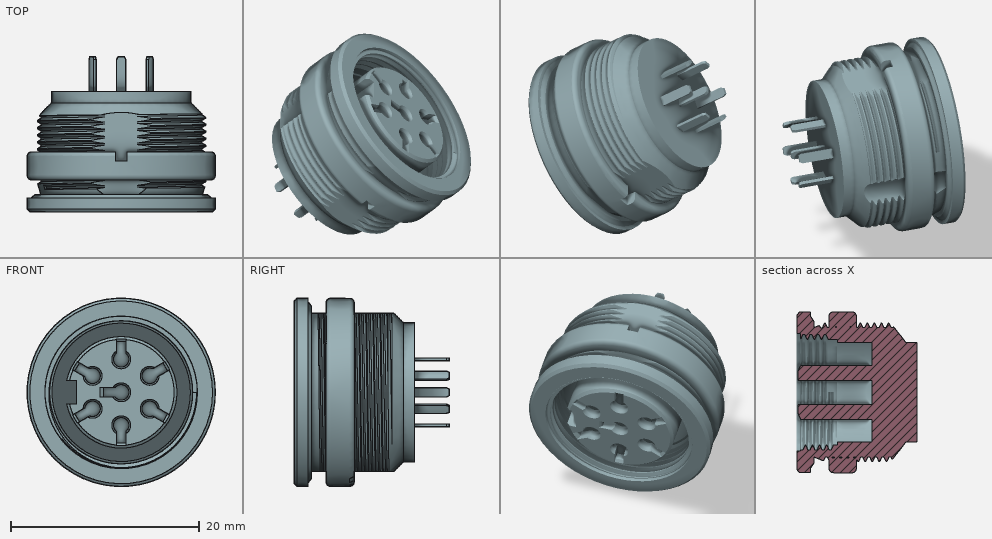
import cadquery as cq
import math


rim_radius = 8.1
rim_height = 0.02
flange_radius = 10.0
flange_thickness = 1.5
flange_chamfer = 0.3
lip_radius = 9.6
lip_end_radius = 9.15
lip_end = 1.85

tail_radius = 7.4
tail_start = 11.6
tail_end = 12.8
barrel_radius = 9.0
neck_radius = 8.62
neck_taper_end = 3.05
flat_height = 8.42
side_groove_radius = 2.0
side_groove_center = 10.2

thread_pitch = 0.75
thread_half_angle = 30.0
thread_overrun = 0.02
outer_thread_root = 8.6
outer_thread_start = 2.58
outer_thread_end = 10.8
outer_thread_angle = 203.0
inner_thread_root = 8.0
inner_thread_start = 0.3
inner_thread_end = 3.6
inner_thread_angle = 0.0
outer_joint = (90, 90)
inner_joint = (180, 360)
root_flat = 0.18

nut_radius = 10.0
nut_inner_radius = 8.65
nut_start = 3.4
nut_end = 6.4
nut_fillet = 0.5
nut_notch_width = 1.2
nut_notch_depth = 1.0

mouth_depth = 0.4
bore_radius = 7.6
bore_step = 4.3
deep_bore_radius = 7.35
bore_end = 8.0

insert_front = 0.15
insert_radius = 5.92
insert_chamfer = 0.3
key_slot_width = 2.5
key_slot_floor = 4.75

contact_count = 6
first_contact_angle = 30
contact_circle_radius = 3.5
socket_radius = 1.0
socket_bore_radius = 0.82
socket_cone_depth = 0.35
socket_depth = 1.05
socket_slot_width = 1.0
socket_slot_length = 2.22
socket_slot_bevel = 0.32
pin_width = 1.0
pin_thickness = 0.32
pin_end = 16.5
pin_tip_length = 0.32
pin_tip_inset = 0.15


def turned(points):
    """Revolve a closed (radius, y) outline about the Y axis."""
    return cq.Workplane("XY").polyline(points).close().revolve(360, (0, 0, 0), (0, 1, 0))


def along_y(start, end, sketch):
    """Extrude a wire-drawing function from y = start to y = end, in (x, z) axes."""
    plane = cq.Plane(origin=(0, end, 0), xDir=(1, 0, 0), normal=(0, -1, 0))
    return sketch(cq.Workplane(plane)).extrude(end - start)


def groove_stretch(root_radius, open_radius, start, start_angle, end_angle):
    """One stretch of a helical V groove that narrows from open_radius to root_radius."""
    depth = abs(open_radius - root_radius)
    half_root = root_flat / 2
    half_open = half_root + depth * math.tan(math.radians(thread_half_angle))
    rise = thread_pitch * (end_angle - start_angle) / 360
    path = cq.Wire.makeHelix(thread_pitch, rise, root_radius)
    groove = (
        cq.Workplane("XZ")
        .polyline([
            (root_radius, -half_root),
            (open_radius, -half_open),
            (open_radius, half_open),
            (root_radius, half_root),
        ])
        .close()
        .sweep(cq.Workplane(path), isFrenet=True)
    )
    groove = groove.rotate((0, 0, 0), (1, 0, 0), -90).translate((0, start, 0))
    return groove.rotate((0, 0, 0), (0, 1, 0), start_angle)


def cut_thread(body, root_radius, open_radius, start, end, start_angle, joint_angle, stretch_angle):
    """Cut a helical groove in stretches that meet every stretch_angle, counted from joint_angle."""
    last_angle = start_angle + 360 * (end - start) / thread_pitch
    angle = start_angle
    while angle < last_angle:
        stretches_done = math.floor((angle - joint_angle) / stretch_angle)
        next_angle = joint_angle + stretch_angle * (stretches_done + 1)
        height = start + thread_pitch * (angle - start_angle) / 360
        body = body.cut(groove_stretch(root_radius, open_radius, height, angle, next_angle), clean=False)
        angle = next_angle
    return body


def flange():
    return turned([
        (0, 0),
        (rim_radius, 0),
        (rim_radius, rim_height),
        (flange_radius - flange_chamfer, rim_height),
        (flange_radius, rim_height + flange_chamfer),
        (flange_radius, flange_thickness),
        (lip_radius, flange_thickness),
        (lip_end_radius, lip_end),
        (0, lip_end),
    ])


def barrel():
    """Barrel with a 45 degree shoulder, top and bottom flats, a side groove and a thread."""
    cone_start = tail_start - (barrel_radius - tail_radius)
    body = turned([
        (0, lip_end),
        (neck_radius, lip_end),
        (barrel_radius, neck_taper_end),
        (barrel_radius, cone_start),
        (tail_radius, tail_start),
        (tail_radius, tail_end),
        (0, tail_end),
    ])
    body = body.intersect(along_y(
        lip_end, tail_end, lambda wp: wp.rect(2 * flange_radius, 2 * flat_height)
    ))
    body = body.cut(along_y(
        lip_end, tail_end,
        lambda wp: wp.center(-side_groove_center, 0).circle(side_groove_radius),
    ))
    return cut_thread(
        body, outer_thread_root, barrel_radius + thread_overrun,
        outer_thread_start, outer_thread_end, outer_thread_angle, *outer_joint,
    )


def nut():
    ring = along_y(nut_start, nut_end, lambda wp: wp.circle(nut_radius))
    ring = ring.edges().fillet(nut_fillet)
    ring = ring.cut(along_y(nut_start, nut_end, lambda wp: wp.circle(nut_inner_radius)))
    return ring.cut(along_y(
        nut_end - nut_notch_depth, nut_end,
        lambda wp: wp.rect(nut_notch_width, 2 * nut_radius + 0.2),
    ))


def bore():
    """Cutter for the bore, with a thin edge of the rim left standing around its mouth."""
    mouth_radius = rim_radius - rim_height
    return turned([
        (0, 0),
        (mouth_radius, 0),
        (mouth_radius, mouth_depth),
        (bore_radius, mouth_depth),
        (bore_radius, bore_step),
        (deep_bore_radius, bore_step),
        (deep_bore_radius, bore_end),
        (0, bore_end),
    ])


def insert():
    core = turned([
        (0, insert_front),
        (insert_radius - insert_chamfer, insert_front),
        (insert_radius, insert_front + insert_chamfer),
        (insert_radius, bore_end),
        (0, bore_end),
    ])
    slot_length = insert_radius - key_slot_floor
    return core.cut(along_y(
        insert_front, bore_end,
        lambda wp: wp.center(-key_slot_floor - slot_length / 2, 0).rect(slot_length, key_slot_width),
    ))


def socket():
    """Cutter for one socket on the Y axis, with its slot toward +X."""
    floor = insert_front + socket_depth
    hole = turned([
        (0, insert_front),
        (socket_radius, insert_front),
        (socket_bore_radius, insert_front + socket_cone_depth),
        (socket_bore_radius, floor),
        (0, floor),
    ])
    slot_end = socket_slot_length - socket_slot_bevel
    slot = (
        cq.Workplane("XY")
        .polyline([
            (0, insert_front),
            (socket_slot_length, insert_front),
            (slot_end, insert_front + socket_slot_bevel),
            (slot_end, floor),
            (0, floor),
        ])
        .close()
        .extrude(socket_slot_width / 2, both=True)
    )
    return hole.union(slot)


def pin():
    """Solder blade on the Y axis, wide along Z."""
    half_width = pin_width / 2
    return (
        cq.Workplane("ZY")
        .polyline([
            (-half_width, tail_end),
            (-half_width, pin_end - pin_tip_length),
            (-half_width + pin_tip_inset, pin_end),
            (half_width - pin_tip_inset, pin_end),
            (half_width, pin_end - pin_tip_length),
            (half_width, tail_end),
        ])
        .close()
        .extrude(pin_thickness / 2, both=True)
    )


def at_contacts(piece):
    """Copies of a piece at the middle contact and at those on the circle, turned outward."""
    copies = [piece.rotate((0, 0, 0), (0, 1, 0), 180)]
    for index in range(contact_count):
        angle = first_contact_angle + 360 / contact_count * index
        ring_piece = piece.translate((contact_circle_radius, 0, 0))
        copies.append(ring_piece.rotate((0, 0, 0), (0, 1, 0), angle))
    return copies


shell = flange().union(barrel(), clean=False).union(nut(), clean=False).cut(bore(), clean=False)
shell = cut_thread(
    shell, inner_thread_root, bore_radius - thread_overrun,
    inner_thread_start, inner_thread_end, inner_thread_angle, *inner_joint,
)
core = insert()
for socket_cutter in at_contacts(socket()):
    core = core.cut(socket_cutter, clean=False)
result = shell.union(core, clean=False)
for blade in at_contacts(pin()):
    result = result.union(blade, clean=False)